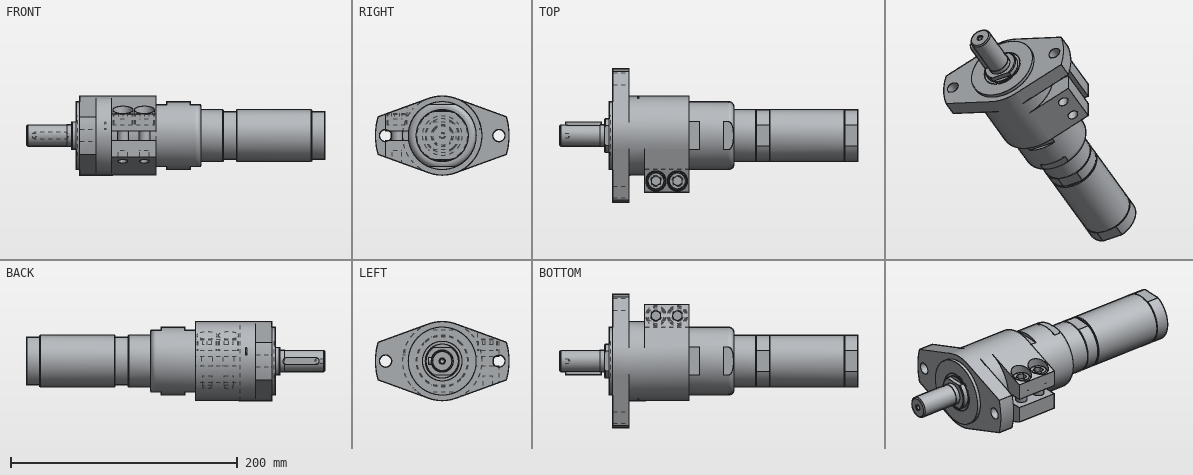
import cadquery as cq
import math

TOTAL_LENGTH = 263.0

SHAFT_SEAT_START = 35.8
COLLAR_START = 39.7
SPIGOT_START = 43.7
FLANGE_START = 46.8
FLANGE_END = 61.3
CLAMP_START = 74.7
CLAMP_END = 114.1
HUB_FLATS_END = 123.3
NOSE_FLATS_START = 144.5
HUB_END = 153.9
SLIM_FLATS_START = 173.5
SLIM_FLATS_END = 185.0
TAIL_FLATS_START = 251.5

SHAFT_DIA = 19.0
SHAFT_SEAT_DIA = 19.5
COLLAR_DIA = 30.0
SPIGOT_DIA = 60.0
BODY_DIA = 70.0
SLIM_DIA = 46.0

COLLAR_FLATS = 24.2
HUB_FLATS = 54.7
SLIM_FLATS = 42.0

SHAFT_CHAMFER = 1.0
COLLAR_CHAMFER = 0.8
RELIEF_SIZE = 0.8
NOSE_RADIUS = 5.0

RECESS_DIA = 35.0
RECESS_DEPTH = 1.0

CENTRE_MOUTH_DIA = 5.5
CENTRE_HOLE_DIA = 4.0
CENTRE_HOLE_DEPTH = 8.0
CENTRE_TIP_ANGLE = 120.0

KEY_START = 5.0
KEY_END = 36.8
KEY_WIDTH = 6.0
KEY_TOP = 12.0

SLOPE_ANGLE = 20.0
FLANGE_DIA = 118.0
BOLT_CIRCLE_DIA = 100.0
BOLT_HOLE_DIA = 10.5

CLAMP_REACH = 50.0
CLAMP_SLOT = 8.5

SCREW_X = (85.0, 104.0)
SCREW_Y = -40.0
SCREW_DIA = 10.0
SCREW_HEAD_DIA = 16.0
SCREW_HEAD_HEIGHT = 10.0
SCREW_HEAD_CHAMFER = 1.0
SCREW_SEAT_Z = 9.5
SCREW_TIP_Z = -13.2
COUNTERBORE_DIA = 18.0
TAPPED_HOLE_DIA = 8.5
HEX_ACROSS_FLATS = 8.0
HEX_DEPTH = 5.0

PIN_HOLE_DIA = 1.55
PIN_HOLE_X = 69.5
PIN_HOLE_Y = 33.7
PIN_HOLE_DEPTH = 4.0


def cylinder(start, end, diameter):
    return cq.Workplane("YZ").workplane(offset=start).circle(diameter / 2).extrude(end - start)


def flats_cut(start, end, diameter, across):
    """Material outside a pair of flats on a cylinder."""
    length = end - start
    slab = cq.Workplane("XY").box(length, diameter * 2, across).translate((start + length / 2, 0, 0))
    return cylinder(start, end, diameter + 2.5).cut(slab)


def relief(station, side):
    """Chamfer on the slim cylinder just beside a pair of flats, falling towards the flats."""
    radius = SLIM_DIA / 2
    profile = [
        (station, radius - RELIEF_SIZE),
        (station, radius),
        (station + side * RELIEF_SIZE, radius),
    ]
    return cq.Workplane("XY").polyline(profile).close().revolve(360, (0, 0, 0), (1, 0, 0))


def stepped_body():
    shaft = cylinder(0, COLLAR_START, SHAFT_DIA).faces("<X").chamfer(SHAFT_CHAMFER)
    shaft = shaft.union(cylinder(SHAFT_SEAT_START, COLLAR_START, SHAFT_SEAT_DIA))
    collar = cylinder(COLLAR_START, SPIGOT_START + RECESS_DEPTH, COLLAR_DIA)
    collar = collar.faces("<X").chamfer(COLLAR_CHAMFER)
    collar = collar.cut(flats_cut(COLLAR_START, SPIGOT_START, COLLAR_DIA, COLLAR_FLATS))
    hub = cylinder(SPIGOT_START, HUB_END, SPIGOT_DIA).faces(">X").edges().fillet(NOSE_RADIUS)
    hub = hub.cut(cylinder(SPIGOT_START, SPIGOT_START + RECESS_DEPTH, RECESS_DIA))
    hub = hub.cut(flats_cut(CLAMP_END, HUB_FLATS_END, SPIGOT_DIA, HUB_FLATS))
    hub = hub.cut(flats_cut(NOSE_FLATS_START, HUB_END, SPIGOT_DIA, HUB_FLATS))
    slim = cylinder(HUB_END, TOTAL_LENGTH, SLIM_DIA)
    slim = slim.cut(flats_cut(SLIM_FLATS_START, SLIM_FLATS_END, SLIM_DIA, SLIM_FLATS))
    slim = slim.cut(flats_cut(TAIL_FLATS_START, TOTAL_LENGTH, SLIM_DIA, SLIM_FLATS))
    slim = slim.cut(relief(SLIM_FLATS_START, -1)).cut(relief(SLIM_FLATS_END, 1))
    slim = slim.cut(relief(TAIL_FLATS_START, -1))
    return shaft.union(collar).union(hub).union(slim)


def sloped_z(y):
    """Height of the straight line touching the body circle, at distance y from the axis."""
    slope = math.radians(SLOPE_ANGLE)
    return (BODY_DIA / 2 - abs(y) * math.sin(slope)) / math.cos(slope)


TANGENT_Y = BODY_DIA / 2 * math.sin(math.radians(SLOPE_ANGLE))
TANGENT_Z = sloped_z(TANGENT_Y)


def sloped_outline(start, reach):
    """Plate outline with straight sides running from the body circle out to -Y."""
    return (
        cq.Workplane("YZ").workplane(offset=start)
        .moveTo(-reach, -sloped_z(reach))
        .lineTo(-TANGENT_Y, -TANGENT_Z)
        .threePointArc((BODY_DIA / 2, 0), (-TANGENT_Y, TANGENT_Z))
        .lineTo(-reach, sloped_z(reach))
        .close()
    )


def flange():
    thickness = FLANGE_END - FLANGE_START
    wing = sloped_outline(FLANGE_START, FLANGE_DIA / 2).extrude(thickness)
    plate = wing.union(wing.mirror("XZ"))
    plate = plate.intersect(cylinder(FLANGE_START, FLANGE_END, FLANGE_DIA))
    bolt_y = BOLT_CIRCLE_DIA / 2
    holes = (
        cq.Workplane("YZ").workplane(offset=FLANGE_START)
        .pushPoints([(-bolt_y, 0), (bolt_y, 0)])
        .circle(BOLT_HOLE_DIA / 2).extrude(thickness)
    )
    return plate.cut(holes)


def screw_column(bottom, top, diameter):
    """Pair of upright cylinders at the clamp screw positions."""
    points = [(x, SCREW_Y) for x in SCREW_X]
    return (
        cq.Workplane("XY").workplane(offset=bottom)
        .pushPoints(points).circle(diameter / 2).extrude(top - bottom)
    )


def clamp():
    length = CLAMP_END - CLAMP_START
    block = sloped_outline(CLAMP_START, CLAMP_REACH).extrude(length)
    slot = cq.Workplane("XY").box(length, CLAMP_REACH, CLAMP_SLOT)
    slot = slot.translate((CLAMP_START + length / 2, -CLAMP_REACH / 2, 0))
    block = block.cut(slot)
    block = block.cut(screw_column(SCREW_SEAT_Z, BODY_DIA / 2, COUNTERBORE_DIA))
    block = block.cut(screw_column(-BODY_DIA / 2, SCREW_TIP_Z, TAPPED_HOLE_DIA))
    return block


def screws():
    head_top = SCREW_SEAT_Z + SCREW_HEAD_HEIGHT
    heads = screw_column(SCREW_SEAT_Z, head_top, SCREW_HEAD_DIA).faces(">Z").chamfer(SCREW_HEAD_CHAMFER)
    corner_dia = HEX_ACROSS_FLATS / math.cos(math.pi / 6)
    for x in SCREW_X:
        socket = (
            cq.Workplane("XY").workplane(offset=head_top - HEX_DEPTH)
            .polygon(6, corner_dia).extrude(HEX_DEPTH)
            .rotate((0, 0, 0), (0, 0, 1), 90).translate((x, SCREW_Y, 0))
        )
        heads = heads.cut(socket)
    return heads.union(screw_column(SCREW_TIP_Z, SCREW_SEAT_Z, SCREW_DIA))


def shaft_key():
    length = KEY_END - KEY_START
    return (
        cq.Workplane("XZ").center((KEY_START + KEY_END) / 2, 0)
        .slot2D(length, KEY_WIDTH).extrude(-KEY_TOP)
    )


def centre_hole():
    mouth = CENTRE_MOUTH_DIA / 2
    hole = CENTRE_HOLE_DIA / 2
    taper = mouth - hole
    tip = CENTRE_HOLE_DEPTH + hole / math.tan(math.radians(CENTRE_TIP_ANGLE / 2))
    profile = [(0, 0), (0, mouth), (taper, hole), (CENTRE_HOLE_DEPTH, hole), (tip, 0)]
    return cq.Workplane("XY").polyline(profile).close().revolve(360, (0, 0, 0), (1, 0, 0))


def pin_hole():
    surface_z = math.sqrt((BODY_DIA / 2) ** 2 - PIN_HOLE_Y ** 2)
    return (
        cq.Workplane("XY").workplane(offset=surface_z - PIN_HOLE_DEPTH)
        .center(PIN_HOLE_X, PIN_HOLE_Y).circle(PIN_HOLE_DIA / 2).extrude(2 * PIN_HOLE_DEPTH)
    )


body = stepped_body().union(cylinder(FLANGE_START, CLAMP_START, BODY_DIA))
body = body.union(flange()).union(clamp()).union(screws()).union(shaft_key())
result = body.cut(centre_hole()).cut(pin_hole())